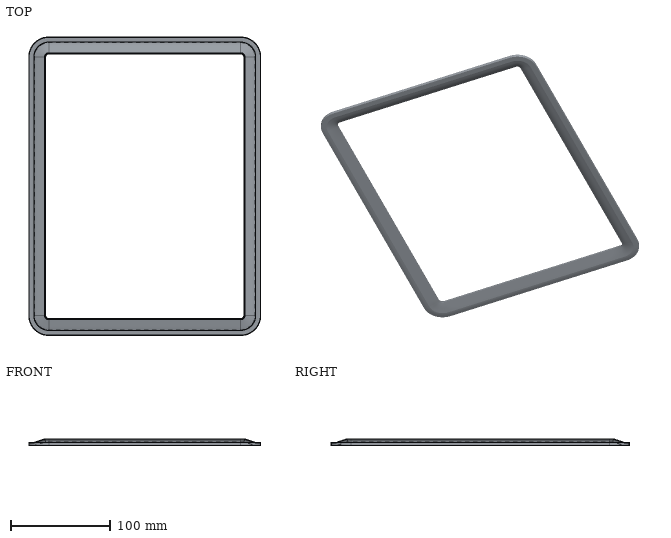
import cadquery as cq
import math

width = 233.0
length = 300.0
height = 6.5
corner_radius = 20.0

thickness = 3.0
rim_width = 5.0
lip_run = 10.8

lip_rise = height - thickness
lip_angle = math.atan2(lip_rise, lip_run)
lip_top = rim_width + lip_run
lip_end = (
    lip_top + thickness * math.sin(lip_angle),
    height - thickness * math.cos(lip_angle),
)
bend_bottom = rim_width + thickness * math.tan(lip_angle / 2)

section = [
    (0, 0),
    (0, thickness),
    (rim_width, thickness),
    (lip_top, height),
    lip_end,
    (bend_bottom, 0),
]

half_straight_x = width / 2 - corner_radius
half_straight_y = length / 2 - corner_radius


def straight_side(half_straight, outer_distance, turn):
    """One straight bar, built along +Y on the +X side and turned about Z."""
    points = [(outer_distance - inward, z) for inward, z in section]
    bar = cq.Workplane("XZ").polyline(points).close().extrude(half_straight, both=True)
    return bar.rotate((0, 0, 0), (0, 0, 1), turn)


def corner(turn, x, y):
    """A quarter turn of the section about the corner centre (x, y)."""
    points = [(corner_radius - inward, z) for inward, z in section]
    bend = cq.Workplane("XZ").polyline(points).close().revolve(90, (0, 0), (0, 1))
    return bend.rotate((0, 0, 0), (0, 0, 1), turn).translate((x, y, 0))


parts = []
for turn in (0, 180):
    parts.append(straight_side(half_straight_y, width / 2, turn))
    parts.append(straight_side(half_straight_x, length / 2, turn + 90))

corner_signs = [(1, 1), (-1, 1), (-1, -1), (1, -1)]
for index, (sign_x, sign_y) in enumerate(corner_signs):
    parts.append(corner(90 * index, sign_x * half_straight_x, sign_y * half_straight_y))

result = parts[0]
for piece in parts[1:]:
    result = result.union(piece)